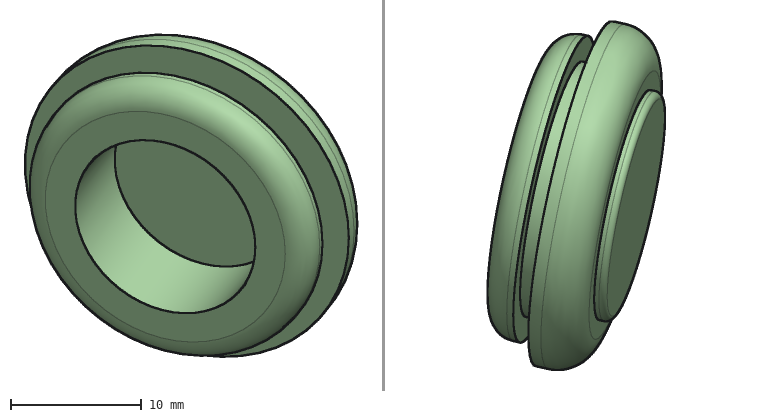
import cadquery as cq

head_diameter = 27.0
flange_diameter = 24.0
groove_diameter = 19.98
cap_diameter = 18.0
bore_diameter = 15.0

flange_thickness = 2.5
groove_width = 1.6
head_thickness = 4.0
cap_thickness = 0.9
bore_depth = 7.5

flange_radius = 2.0
head_radius = 3.0
cap_radius = 0.5

groove_start = flange_thickness
head_start = groove_start + groove_width
cap_start = head_start + head_thickness


def disc(diameter, start, thickness):
    """Solid disc about the Y axis, growing toward +Y from y = start."""
    return (
        cq.Workplane("XZ", origin=(0, start, 0))
        .circle(diameter / 2)
        .extrude(-thickness)
    )


flange = disc(flange_diameter, 0, flange_thickness).faces("<Y").edges().fillet(flange_radius)

neck = disc(groove_diameter, groove_start, groove_width)

head = disc(head_diameter, head_start, head_thickness).faces(">Y").edges().fillet(head_radius)
cap = disc(cap_diameter, cap_start, cap_thickness).faces(">Y").edges().fillet(cap_radius)

bore = disc(bore_diameter, 0, bore_depth)

result = flange.union(neck).union(head).union(cap).cut(bore)